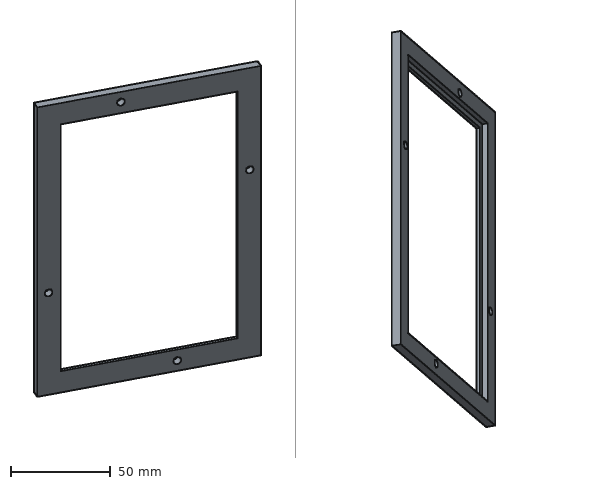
import cadquery as cq

thickness = 5.0
width = 119.0
height = 169.0

recess_margin = 9.5
window_margin = 12.5
recess_depth = 3.0

hole_diameter = 4.0
hole_edge_distance = 6.0
hole_offset_y = 15.0
hole_offset_z = 25.0


def inset_block(margin, depth):
    """Box inset by margin from the frame outline, reaching depth inward from the -X face."""
    block = cq.Workplane("XY").box(depth, width - 2 * margin, height - 2 * margin)
    return block.translate(((depth - thickness) / 2, 0, 0))


def mounting_holes():
    """Four through holes, arranged in pairs opposite each other about the frame centre."""
    side_y = width / 2 - hole_edge_distance
    end_z = height / 2 - hole_edge_distance
    centres = []
    for sign in (1, -1):
        centres.append((sign * side_y, sign * hole_offset_z))
        centres.append((-sign * hole_offset_y, sign * end_z))
    start = cq.Workplane("YZ").workplane(offset=-thickness / 2)
    return start.pushPoints(centres).circle(hole_diameter / 2).extrude(thickness)


frame = inset_block(0, thickness)
window = inset_block(window_margin, thickness)
recess = inset_block(recess_margin, recess_depth)

result = frame.cut(window).cut(recess).cut(mounting_holes())